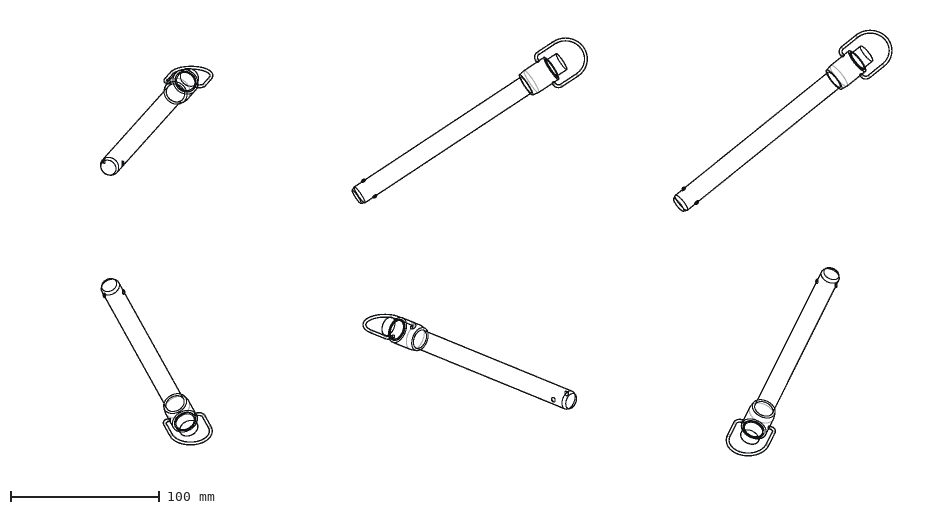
import cadquery as cq
import math

total_length = 185.7
ring_width = 29.5

shank_radius = 6.5
tip_radius = 5.4
tip_length = 2.5

head_radius = 9.0
head_front_radius = 8.2
head_front_y = 138.7
head_taper_length = 4.3
head_rear_y = 159.3
collar_radius = 7.5
collar_length = 0.5
button_radius = 6.5
button_end_y = 167.7

ball_radius = 1.7
ball_y = 10.2
ball_reach = 7.6

wire_radius = 1.02
ring_leg_y = 154.7
ring_bend_radius = 3.3
ring_embed = 1.9


def make_body():
    """Revolve the shank, head, collar and button about the Y axis."""
    profile = [
        (0, 0),
        (tip_radius, 0),
        (shank_radius, tip_length),
        (shank_radius, head_front_y),
        (head_front_radius, head_front_y),
        (head_radius, head_front_y + head_taper_length),
        (head_radius, head_rear_y),
        (collar_radius, head_rear_y),
        (collar_radius, head_rear_y + collar_length),
        (button_radius, head_rear_y + collar_length),
        (button_radius, button_end_y),
        (0, button_end_y),
    ]
    return cq.Workplane("XY").polyline(profile).close().revolve(360, (0, 0), (0, 1))


def make_ball(side):
    """Locking ball protruding on the given X side of the shank."""
    center_x = side * (ball_reach - ball_radius)
    return cq.Workplane("XY").sphere(ball_radius).translate((center_x, ball_y, 0))


def make_ring():
    """Sweep the round wire from one side of the head to the other."""
    arc_radius = ring_width / 2 - wire_radius
    arc_center_y = total_length - ring_width / 2
    bend_x = arc_radius - ring_bend_radius
    bend_y = ring_leg_y + ring_bend_radius
    bend_offset = ring_bend_radius * math.sqrt(0.5)
    leg_end_x = head_radius - ring_embed

    path = (
        cq.Workplane("XY")
        .moveTo(-leg_end_x, ring_leg_y)
        .lineTo(-bend_x, ring_leg_y)
        .threePointArc((-bend_x - bend_offset, bend_y - bend_offset), (-arc_radius, bend_y))
        .lineTo(-arc_radius, arc_center_y)
        .threePointArc((0, arc_center_y + arc_radius), (arc_radius, arc_center_y))
        .lineTo(arc_radius, bend_y)
        .threePointArc((bend_x + bend_offset, bend_y - bend_offset), (bend_x, ring_leg_y))
        .lineTo(leg_end_x, ring_leg_y)
    )
    wire_section = cq.Workplane("YZ", origin=(-leg_end_x, ring_leg_y, 0)).circle(wire_radius)
    return wire_section.sweep(path)


result = make_body().union(make_ring())
for side in (-1, 1):
    result = result.union(make_ball(side))